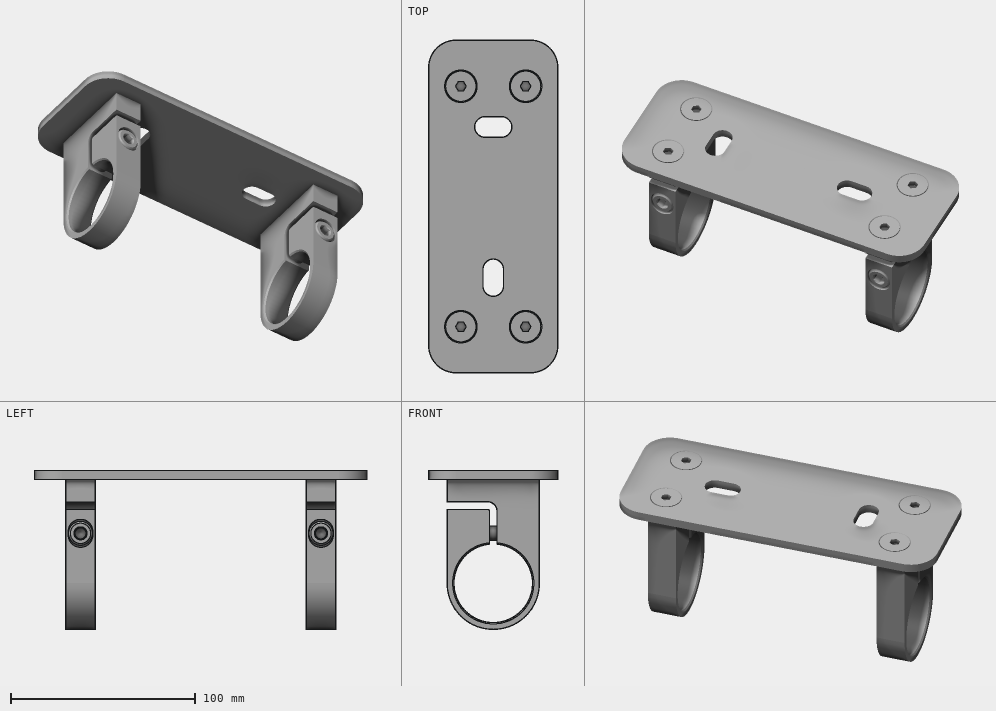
import cadquery as cq
import math

plate_width = 70.0
plate_length = 180.0
plate_thickness = 5.0
plate_corner_radius = 15.0
slot_length = 20.0
slot_width = 11.0
cross_slot_y = 43.0
long_slot_y = -38.5

clamp_width = 50.0
clamp_thickness = 16.0
clamp_spacing = 130.0
clamp_top_z = -plate_thickness
overall_height = 86.0
clamp_radius = clamp_width / 2
bore_z = clamp_radius - overall_height
bore_diameter = 42.4
bore_chamfer = 0.8

relief_gap = 4.0
relief_top_z = -17.0
relief_inner_radius = 1.0
relief_outer_radius = relief_inner_radius + relief_gap

plate_screw_spacing = 35.0
plate_screw_diameter = 8.0
plate_screw_length = 16.0
countersink_diameter = 17.6
plate_head_diameter = 16.4
plate_socket_flats = 5.0
plate_socket_depth = 3.0

clamp_screw_z = -34.0
clamp_screw_diameter = 8.0
clamp_screw_length = 30.0
clamp_head_diameter = 13.0
clamp_head_height = 8.0
clamp_head_chamfer = 1.0
clamp_socket_flats = 6.0
clamp_socket_depth = 5.0
clamp_socket_turn = 30.0
clamp_socket_mouth_diameter = 7.1
drill_cone_angle = 30.0
clamp_socket_cone_height = clamp_socket_flats / 2 * math.tan(math.radians(drill_cone_angle))
counterbore_width = 13.4
counterbore_length = 15.2

clamp_ys = [-clamp_spacing / 2, clamp_spacing / 2]
screw_xs = [-plate_screw_spacing / 2, plate_screw_spacing / 2]
plate_screw_places = [(x, y) for x in screw_xs for y in clamp_ys]
jaw_face_x = -clamp_width / 2
head_seat_x = jaw_face_x + clamp_head_height


def hexagon_diameter(across_flats):
    """Across-corners size of a hexagon."""
    return across_flats / math.cos(math.radians(30))


def countersunk_blank():
    """Revolved shank with a 90 degree cone widening up to the top face of the plate."""
    sink_radius = countersink_diameter / 2
    shank_radius = plate_screw_diameter / 2
    return (
        cq.Workplane("XZ")
        .moveTo(0, -plate_screw_length)
        .lineTo(shank_radius, -plate_screw_length)
        .lineTo(shank_radius, shank_radius - sink_radius)
        .lineTo(sink_radius, 0)
        .lineTo(0, 0)
        .close()
        .revolve(360, (0, 0), (0, 1))
    )


def make_plate():
    """Mounting plate with two crossed slots and four countersunk holes."""
    plate = (
        cq.Workplane("XY")
        .workplane(offset=-plate_thickness)
        .rect(plate_width, plate_length)
        .extrude(plate_thickness)
        .edges("|Z")
        .fillet(plate_corner_radius)
    )
    slots = (
        cq.Workplane("XY")
        .center(0, cross_slot_y)
        .slot2D(slot_length, slot_width)
        .center(0, long_slot_y - cross_slot_y)
        .slot2D(slot_length, slot_width, 90)
        .extrude(-plate_thickness)
    )
    plate = plate.cut(slots)
    for x, y in plate_screw_places:
        plate = plate.cut(countersunk_blank().translate((x, y, 0)))
    return plate


def make_relief_cut():
    """L-shaped gap: in from the jaw face, round the bend, down into the bore."""
    gap_x = relief_gap / 2
    outside_x = jaw_face_x - relief_gap
    relief_bottom_z = relief_top_z - relief_gap
    bend_x = gap_x - relief_outer_radius
    bend_z = relief_top_z - relief_outer_radius
    diagonal = math.sqrt(0.5)
    return (
        cq.Workplane("XZ")
        .moveTo(outside_x, relief_top_z)
        .lineTo(bend_x, relief_top_z)
        .threePointArc(
            (bend_x + relief_outer_radius * diagonal, bend_z + relief_outer_radius * diagonal),
            (gap_x, bend_z),
        )
        .lineTo(gap_x, bore_z)
        .lineTo(-gap_x, bore_z)
        .lineTo(-gap_x, bend_z)
        .threePointArc(
            (bend_x + relief_inner_radius * diagonal, bend_z + relief_inner_radius * diagonal),
            (bend_x, relief_bottom_z),
        )
        .lineTo(outside_x, relief_bottom_z)
        .close()
        .extrude(clamp_thickness / 2, both=True)
    )


def make_clamp(clamp_y):
    """Round-bottomed block with a chamfered bore, a relief cut and holes for its screws."""
    clamp = (
        cq.Workplane("XZ")
        .moveTo(-clamp_radius, clamp_top_z)
        .lineTo(clamp_radius, clamp_top_z)
        .lineTo(clamp_radius, bore_z)
        .threePointArc((0, bore_z - clamp_radius), (-clamp_radius, bore_z))
        .close()
        .extrude(clamp_thickness / 2, both=True)
    )
    bore = (
        cq.Workplane("XZ")
        .center(0, bore_z)
        .circle(bore_diameter / 2)
        .extrude(clamp_thickness / 2, both=True)
    )
    clamp = clamp.cut(bore)
    clamp = clamp.faces("<Y or >Y").edges(cq.selectors.RadiusNthSelector(0)).chamfer(bore_chamfer)
    clamp = clamp.cut(make_relief_cut())

    screw_hole = (
        cq.Workplane("YZ", origin=(head_seat_x, 0, clamp_screw_z))
        .circle(clamp_screw_diameter / 2)
        .extrude(clamp_screw_length)
    )
    counterbore = (
        cq.Workplane("YZ", origin=(jaw_face_x, 0, clamp_screw_z))
        .slot2D(counterbore_length, counterbore_width, 90)
        .extrude(clamp_head_height)
    )
    clamp = clamp.cut(screw_hole).cut(counterbore)
    for x in screw_xs:
        clamp = clamp.cut(countersunk_blank().translate((x, 0, 0)))
    return clamp.translate((0, clamp_y, 0))


def make_plate_screw(x, y):
    """Screw flush with the plate, its straight head rim a little narrower than the countersink."""
    head_limit = cq.Workplane("XY").circle(plate_head_diameter / 2).extrude(-plate_screw_length)
    socket = (
        cq.Workplane("XY")
        .polygon(6, hexagon_diameter(plate_socket_flats))
        .extrude(-plate_socket_depth)
    )
    screw = countersunk_blank().intersect(head_limit).cut(socket)
    return screw.translate((x, y, 0))


def make_clamp_screw(clamp_y):
    """Cap screw along X with a bevelled head and a drill-pointed hexagon socket."""
    head = (
        cq.Workplane("YZ", origin=(jaw_face_x, 0, 0))
        .circle(clamp_head_diameter / 2)
        .extrude(clamp_head_height)
        .faces("<X")
        .chamfer(clamp_head_chamfer)
    )
    shank = (
        cq.Workplane("YZ", origin=(head_seat_x, 0, 0))
        .circle(clamp_screw_diameter / 2)
        .extrude(clamp_screw_length)
    )
    socket = (
        cq.Workplane("YZ", origin=(jaw_face_x, 0, 0))
        .transformed(rotate=(0, 0, clamp_socket_turn))
        .polygon(6, hexagon_diameter(clamp_socket_flats))
        .extrude(clamp_socket_depth)
    )
    socket_radius = clamp_socket_flats / 2
    mouth_radius = clamp_socket_mouth_diameter / 2
    lead_in = cq.Solid.makeCone(
        mouth_radius,
        socket_radius,
        mouth_radius - socket_radius,
        cq.Vector(jaw_face_x, 0, 0),
        cq.Vector(1, 0, 0),
    )
    drill_tip = cq.Solid.makeCone(
        socket_radius,
        0,
        clamp_socket_cone_height,
        cq.Vector(jaw_face_x + clamp_socket_depth, 0, 0),
        cq.Vector(1, 0, 0),
    )
    screw = head.union(shank).cut(socket).cut(cq.Workplane(lead_in)).cut(cq.Workplane(drill_tip))
    return screw.translate((0, clamp_y, clamp_screw_z))


plate = make_plate()
clamps = [make_clamp(y) for y in clamp_ys]
plate_screws = [make_plate_screw(x, y) for x, y in plate_screw_places]
clamp_screws = [make_clamp_screw(y) for y in clamp_ys]

bodies = [plate, *clamps, *plate_screws, *clamp_screws]
result = cq.Compound.makeCompound([body.val() for body in bodies])